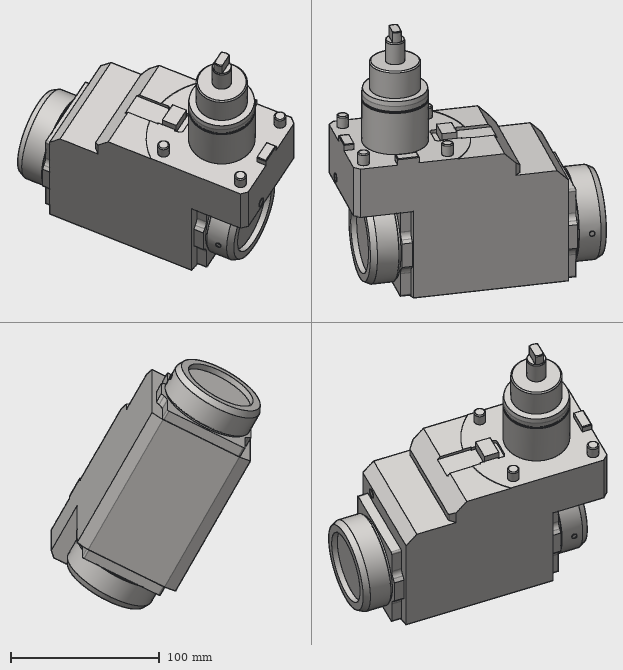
import cadquery as cq


width = 75.0
half_width = width / 2
body_left = -110.8
body_length = 107.2
body_right = body_left + body_length
body_middle = body_left + body_length / 2
step_top = 86.2
step_chamfer = 7.9
keel_height = 2.6
keel_half_width = 29.0

head_left = -78.2
head_right = 37.3
head_bottom = 67.5
head_top = 103.3
head_slope = 11.6
head_corner = 4.0
head_front_fillet = 1.5
disc_radius = 50.8
seat_top = 103.7

total_height = 187.5
spindle_radius = 22.5
spindle_top = 143.2
collar_height = 3.4
collar_inset = 0.5
groove_bottom = 134.6
groove_height = 1.1
groove_depth = 0.8
nose_radius = 17.2
nose_top = 163.3
nose_chamfer = 1.0
shaft_radius = 6.5
shaft_top = 179.5
shaft_chamfer = 1.1
shaft_chamfer_inset = 0.4
tang_radius = shaft_radius - shaft_chamfer_inset
tang_thickness = 6.0
tang_chamfer = 0.5

pin_offset = 29.0
pin_radius = 4.0
pin_top = 112.1
pin_chamfer = 0.8
key_width = 15.0
key_length = 7.0
key_top = 108.2
key_chamfer = 0.5
front_key_left = -41.0
front_key_length = 10.5
slot_floor = 101.2
slot_width = 16.9
slot_right = -25.9
slot_corner = 2.5
key_seat_left = -44.2
key_seat_width = 15.4
relief_overlap = 0.8

outlet_height = 33.5
plate_thickness = 7.1
plate_half_width = 29.6
plate_half_height = 33.0
plate_corner = 1.3
tab_half_width = 34.1
tab_half_height = 8.8
tab_chamfer = 2.0
tab_root_half_height = 15.5
neck_length = 1.7
neck_radius = 30.8
nut_length = 19.3
nut_radius = 32.2
nut_bevel_length = 4.3
nut_bevel_inset = 2.2
nut_bore_radius = 24.5
nut_bore_depth = 4.1
nut_screw_setback = 10.5
nut_screw_radius = 1.9
nut_screw_height = 0.5

plug_radius = 3.2
plug_height = 0.4
left_plug_y = 22.0
right_plug_y = -15.0
plug_z = 72.8


def box(x_range, y_range, z_range):
    """Box spanning the given ranges."""
    spans = (x_range, y_range, z_range)
    size = [high - low for low, high in spans]
    corner = [low for low, high in spans]
    return cq.Workplane("XY").box(*size, centered=False).translate(tuple(corner))


def upright_cylinder(radius, bottom, top):
    return cq.Workplane("XY").workplane(offset=bottom).circle(radius).extrude(top - bottom)


def make_housing():
    """Lower block with a stepped, bevelled front and a keel-shaped underside."""
    section = [
        (-keel_half_width, 0),
        (keel_half_width, 0),
        (half_width, keel_height),
        (half_width, step_top),
        (-half_width, step_top),
        (-half_width, keel_height),
    ]
    block = cq.Workplane("YZ").workplane(offset=body_left).polyline(section).close().extrude(body_length)
    return block.edges("<X and >Z").chamfer(step_chamfer)


def make_head():
    """Upper block with cut corners and a sloped front, plus the raised round seat."""
    section = [
        (head_left, head_bottom),
        (head_right, head_bottom),
        (head_right, head_top),
        (head_left + head_slope, head_top),
        (head_left, head_top - head_slope),
    ]
    footprint = box((head_left, head_right), (-half_width, half_width), (head_bottom, seat_top))
    footprint = footprint.edges("|Z").chamfer(head_corner)
    footprint = footprint.faces("<X").edges("|Z").fillet(head_front_fillet)
    block = cq.Workplane("XZ").polyline(section).close().extrude(half_width, both=True)
    seat = upright_cylinder(disc_radius, head_bottom, seat_top)
    seat = seat.intersect(footprint)
    return block.intersect(footprint).union(seat)


def make_slot():
    """Shallow key slot: run-out through the sloped front, snug key seat, rounded relief end."""
    depth = (slot_floor, seat_top)
    wide = (-slot_width / 2, slot_width / 2)
    snug = (-key_seat_width / 2, key_seat_width / 2)
    front_key_right = front_key_left + front_key_length
    run_out = box((head_left, key_seat_left), wide, depth)
    key_seat = box((key_seat_left, front_key_right), snug, depth)
    relief = box((front_key_right - relief_overlap, slot_right), wide, depth)
    relief = relief.edges("|Z and >X").fillet(slot_corner)
    return run_out.union(key_seat).union(relief)


def make_spindle():
    """Stepped spindle with a ring groove, ending in a flat driving tang."""
    collar_bottom = spindle_top - collar_height
    groove_radius = spindle_radius - groove_depth
    profile = [
        (0, head_bottom),
        (spindle_radius, head_bottom),
        (spindle_radius, groove_bottom),
        (groove_radius, groove_bottom),
        (groove_radius, groove_bottom + groove_height),
        (spindle_radius, groove_bottom + groove_height),
        (spindle_radius, collar_bottom),
        (spindle_radius - collar_inset, spindle_top),
        (nose_radius, spindle_top),
        (nose_radius, nose_top - nose_chamfer),
        (nose_radius - nose_chamfer, nose_top),
        (shaft_radius, nose_top),
        (shaft_radius, shaft_top - shaft_chamfer),
        (tang_radius, shaft_top),
        (0, shaft_top),
    ]
    spindle = cq.Workplane("XZ").polyline(profile).close().revolve(360, (0, 0, 0), (0, 1, 0))
    half_tang = tang_thickness / 2
    flats = box((-half_tang, half_tang), (-tang_radius, tang_radius), (shaft_top, total_height))
    tang = upright_cylinder(tang_radius, shaft_top, total_height).intersect(flats)
    return spindle.union(tang.faces(">Z").edges("%CIRCLE").chamfer(tang_chamfer))


def make_pins():
    pin = upright_cylinder(pin_radius, head_top, pin_top).faces(">Z").chamfer(pin_chamfer)
    corners = [(x, y) for x in (-pin_offset, pin_offset) for y in (-pin_offset, pin_offset)]
    pins = cq.Workplane("XY")
    for x, y in corners:
        pins = pins.union(pin.translate((x, y, 0)))
    return pins


def make_keys():
    """Key in the front slot and keys at the right and rear edges of the seat."""
    across = (-key_width / 2, key_width / 2)
    upright = (slot_floor, key_top)
    front = box((front_key_left, front_key_left + front_key_length), across, upright)
    right = box((half_width - key_length, half_width), across, upright)
    right = right.faces(">Z").edges(">X or |X").chamfer(key_chamfer)
    rear = right.rotate((0, 0, 0), (0, 0, 1), 90)
    right = right.translate((head_right - half_width, 0, 0))
    return front.union(right).union(rear)


def make_plate():
    """Clamping plate with a bevelled tab on each side, blended into the plate by arcs."""
    quarter = (
        cq.Workplane("YZ")
        .moveTo(0, plate_half_height)
        .lineTo(plate_half_width, plate_half_height)
        .lineTo(plate_half_width, tab_root_half_height)
        .tangentArcPoint((tab_half_width - tab_chamfer, tab_half_height + tab_chamfer), relative=False)
        .lineTo(tab_half_width, tab_half_height)
        .lineTo(tab_half_width, 0)
        .lineTo(0, 0)
        .close()
        .extrude(plate_thickness)
    )
    half = quarter.union(quarter.mirror("XZ"))
    plate = half.union(half.mirror("XY")).clean()
    return plate.faces(">Z or <Z").edges("|X").fillet(plate_corner)


def make_outlet():
    """Plate, neck and bored nut, built along +X from the wall with its axis on X."""
    neck_end = plate_thickness + neck_length
    nut_end = neck_end + nut_length
    profile = [
        (0, 0),
        (0, neck_radius),
        (neck_end, neck_radius),
        (neck_end, nut_radius),
        (nut_end - nut_bevel_length, nut_radius),
        (nut_end, nut_radius - nut_bevel_inset),
        (nut_end, nut_bore_radius),
        (nut_end - nut_bore_depth, nut_bore_radius),
        (nut_end - nut_bore_depth, 0),
    ]
    nut = cq.Workplane("XY").polyline(profile).close().revolve(360, (0, 0, 0), (1, 0, 0))
    screw = (
        cq.Workplane("XZ")
        .center(nut_end - nut_screw_setback, 0)
        .circle(nut_screw_radius)
        .extrude(nut_radius + nut_screw_height)
    )
    screw = screw.intersect(box((0, nut_end), (-half_width, -neck_radius), (-half_width, half_width)))
    return make_plate().union(nut).union(screw)


def make_plug(wall_x, y, direction):
    plug = cq.Workplane("YZ").center(y, plug_z).circle(plug_radius).extrude(direction * plug_height)
    return plug.translate((wall_x, 0, 0))


right_outlet = make_outlet().translate((body_right, 0, outlet_height))
left_outlet = right_outlet.rotate((body_middle, 0, 0), (body_middle, 0, 1), 180)

result = (
    make_housing()
    .union(make_head())
    .cut(make_slot())
    .union(make_spindle())
    .union(make_pins())
    .union(make_keys())
    .union(right_outlet)
    .union(left_outlet)
    .union(make_plug(body_left, left_plug_y, -1))
    .union(make_plug(head_right, right_plug_y, 1))
)